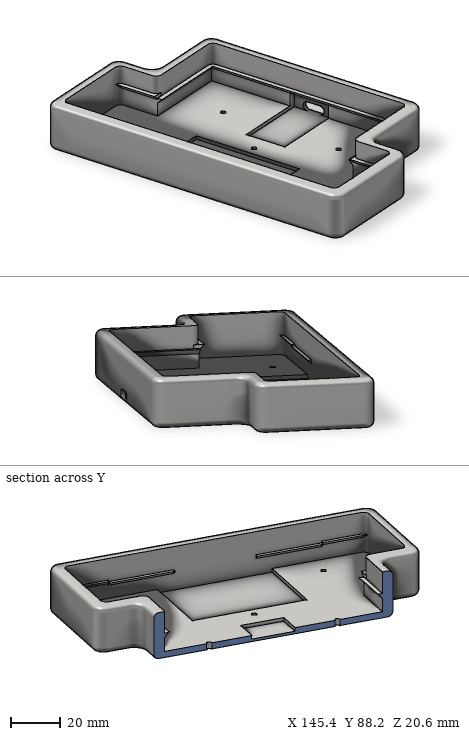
import cadquery as cq

width = 145.4
depth = 88.2
height = 20.6
back_width = 107.0
front_depth = 50.0

wall = 5.0
front_wall = 5.2
corner_radius = 5.0
rim_radius = 2.5
inner_radius = 2.6
floor_z = 2.9

ledge_z = 11.0
shoulder_ledge_z = 12.6
ledge_reach = 2.2
front_ledge_reach = 1.6
front_gap_x = 18.3
front_step_x = 47.7
inner_front_ledge_z = ledge_z - 0.7

recess_floor_z = 1.3
battery_width = 51.2
battery_back_y = -4.4
port_width = 19.2
port_front_y = 8.1
port_wall = 1.9

slot_width = 10.3
slot_height = 4.0
slot_z = recess_floor_z + slot_height / 2

hole_diameter = 2.2
hole_points = [(-28.6, 19.0), (28.6, 19.0), (0, 0), (-43.9, -28.6), (43.9, -28.6)]

front_y = -depth / 2
back_y = depth / 2
shoulder_y = front_y + front_depth

cavity_front_y = front_y + front_wall
cavity_back_y = back_y - wall
cavity_shoulder_y = shoulder_y - wall
cavity_half_width = width / 2 - wall
cavity_back_half_width = back_width / 2 - wall

to_front = (0, -1, 0)
to_back = (0, 1, 0)


def box(x0, x1, y0, y1, z0, z1):
    """Axis-aligned block between two opposite corners."""
    return cq.Workplane("XY").box(x1 - x0, y1 - y0, z1 - z0, centered=False).translate((x0, y0, z0))


def stepped_block(inset, front_inset, z0, z1):
    """Wide front body and narrow back body, with the front side and all others moved inwards."""
    half = width / 2 - inset
    back_half = back_width / 2 - inset
    front = box(-half, half, front_y + front_inset, shoulder_y - inset, z0, z1)
    back = box(-back_half, back_half, front_y + front_inset, back_y - inset, z0, z1)
    return front.union(back)


def make_shell():
    """Rounded outer body with a stepped cavity open at the top."""
    body = stepped_block(0, 0, 0, height).edges("|Z").fillet(corner_radius)
    body = body.faces("<Z or >Z").edges().fillet(rim_radius)

    upper_cavity = stepped_block(wall, front_wall, ledge_z, height).edges("|Z").fillet(inner_radius)

    lower_cavity = stepped_block(wall, front_wall, floor_z, ledge_z)
    lower_cavity = lower_cavity.edges("|Z and (<X or >X)").fillet(inner_radius)
    return body.cut(upper_cavity).cut(lower_cavity)


def ridge(start, end, inward, reach, top_z):
    """Ridge along a wall line: flat on top, sloping back to the wall at 45 degrees below."""
    run = cq.Vector(end[0] - start[0], end[1] - start[1], 0)
    plane = cq.Plane(origin=(start[0], start[1], top_z), xDir=inward, normal=run.normalized().toTuple())
    down = -reach if plane.yDir.z > 0 else reach
    root = -wall / 2
    profile = [(root, 0), (reach, 0), (0, down), (root, down)]
    return cq.Workplane(plane).polyline(profile).close().extrude(run.Length)


def make_ledges():
    """Ridges on the back, side, shoulder and front walls."""
    back_left = (-cavity_back_half_width, cavity_back_y)
    back_right = (cavity_back_half_width, cavity_back_y)
    ledges = ridge(back_left, back_right, to_front, ledge_reach, ledge_z)

    for side in (-1, 1):
        back_corner = (side * cavity_back_half_width, cavity_back_y)
        notch_corner = (side * cavity_back_half_width, cavity_shoulder_y)
        shoulder_end = (side * cavity_half_width, cavity_shoulder_y)
        front_end = (side * cavity_half_width, cavity_front_y)
        front_step = (side * front_step_x, cavity_front_y)
        front_gap = (side * front_gap_x, cavity_front_y)
        runs = [
            ridge(notch_corner, back_corner, (-side, 0, 0), ledge_reach, ledge_z),
            ridge(notch_corner, shoulder_end, to_front, ledge_reach, shoulder_ledge_z),
            ridge(front_step, front_end, to_back, front_ledge_reach, ledge_z),
            ridge(front_gap, front_step, to_back, front_ledge_reach, inner_front_ledge_z),
        ]
        for run in runs:
            ledges = ledges.union(run)
    return ledges


def make_floor_recesses():
    """Battery recess at the front and connector recess that also thins the back wall."""
    battery = box(
        -battery_width / 2, battery_width / 2, cavity_front_y, battery_back_y, recess_floor_z, floor_z
    )
    port = box(
        -port_width / 2,
        port_width / 2,
        port_front_y,
        back_y - port_wall,
        recess_floor_z,
        ledge_z - ledge_reach,
    )
    return battery.union(port)


def make_port_slot():
    """Round-ended opening through the thinned back wall."""
    return (
        cq.Workplane("XZ", origin=(0, back_y, slot_z))
        .slot2D(slot_width, slot_height)
        .extrude(wall)
    )


def make_screw_holes():
    """Round holes through the floor."""
    return cq.Workplane("XY").pushPoints(hole_points).circle(hole_diameter / 2).extrude(floor_z)


result = (
    make_shell()
    .union(make_ledges())
    .cut(make_floor_recesses())
    .cut(make_port_slot())
    .cut(make_screw_holes())
)